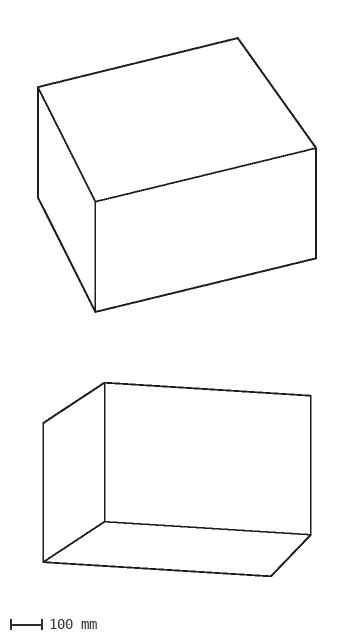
import cadquery as cq

length = 941.0
width = 917.0
height = 457.0

front_corner_x = 329.0
back_corner_x = 553.0
left_corner_y = 510.0
right_corner_y = 446.0

outline = [
    (front_corner_x, 0),
    (length, right_corner_y),
    (back_corner_x, width),
    (0, left_corner_y),
]

result = cq.Workplane("XY").polyline(outline).close().extrude(height)